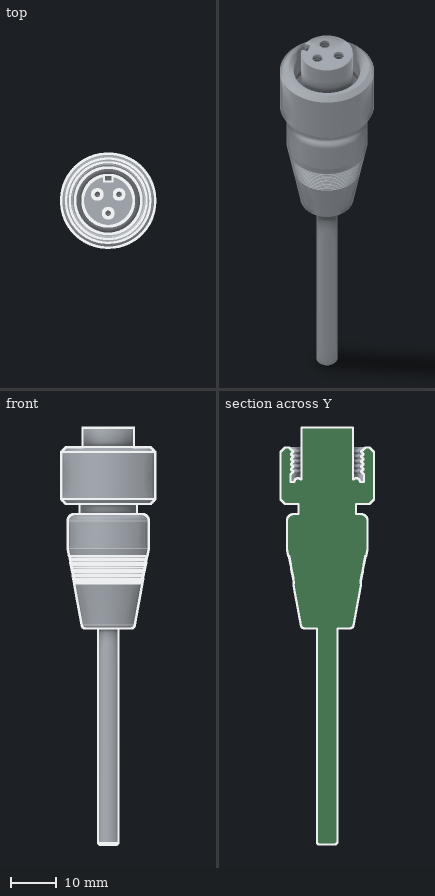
import cadquery as cq
import math


cable_radius = 2.3
cable_end_chamfer = 0.5

body_bottom = 47.3
body_top = 72.4
body_radius = 17.8 / 2
shoulder_radius = 1.55
taper_top = 64.85
taper_angle = math.radians(10.4)
tail_radius = 0.9

grip_top = 63.2
grip_count = 12
grip_pitch = 0.5
grip_radius = 0.25

neck_radius = 6.3
nut_bottom = 74.5
nut_top = 87.05
nut_radius = 10.3
nut_chamfer = 1.1
nut_floor = 79.5

mouth_radius = 8.4
thread_major_radius = 7.95
thread_minor_radius = 7.3
thread_pitch = 1.1
thread_turns = 5

seal_radius = 6.4
seal_section_radius = 0.8

core_radius = 5.7
core_top = 91.3
core_chamfer = 0.14
socket_circle_radius = 2.7
socket_mouth_radius = 2.3 / 2
socket_mouth_depth = 1.2
socket_radius = 0.87
socket_depth = 3.2
socket_angles = (30, 150, 270)
key_width = 1.9
key_floor_radius = 4.2


def cylinder(radius, bottom, top):
    return cq.Workplane("XY").workplane(offset=bottom).circle(radius).extrude(top - bottom)


def spin(half_profile):
    return half_profile.revolve(360, (0, 0, 0), (0, 1, 0))


def ring(radius, section_radius, height):
    return cq.Workplane(cq.Solid.makeTorus(radius, section_radius, cq.Vector(0, 0, height)))


def taper_radius(height):
    return body_radius - (taper_top - height) * math.tan(taper_angle)


def make_cable():
    cable = cylinder(cable_radius, 0, body_bottom)
    return cable.faces("<Z").chamfer(cable_end_chamfer)


def make_body():
    profile = (
        cq.Workplane("XZ")
        .moveTo(0, body_bottom)
        .lineTo(taper_radius(body_bottom), body_bottom)
        .lineTo(body_radius, taper_top)
        .lineTo(body_radius, body_top)
        .lineTo(0, body_top)
        .close()
    )
    body = spin(profile)
    body = body.faces(">Z").edges().fillet(shoulder_radius)
    return body.faces("<Z").edges().fillet(tail_radius)


def cut_grip(body):
    for index in range(grip_count):
        height = grip_top - (index + 0.5) * grip_pitch
        body = body.cut(ring(taper_radius(height), grip_radius, height))
    return body


def make_nut():
    nut = cylinder(nut_radius, nut_bottom, nut_top)
    return nut.faces("<Z or >Z").chamfer(nut_chamfer)


def make_nut_bore():
    thread_top = nut_top - (mouth_radius - thread_major_radius)
    outline = (
        cq.Workplane("XZ")
        .moveTo(0, nut_top)
        .lineTo(mouth_radius, nut_top)
        .lineTo(thread_major_radius, thread_top)
    )
    for turn in range(thread_turns):
        root = thread_top - turn * thread_pitch
        outline = outline.lineTo(thread_minor_radius, root - thread_pitch / 2)
        outline = outline.lineTo(thread_major_radius, root - thread_pitch)
    outline = outline.lineTo(thread_major_radius, nut_floor).lineTo(0, nut_floor).close()
    return spin(outline)


def make_socket():
    wall_bottom = socket_radius - socket_depth
    profile = (
        cq.Workplane("XZ")
        .lineTo(socket_mouth_radius, 0)
        .lineTo(socket_mouth_radius, -socket_mouth_depth)
        .lineTo(socket_radius, -socket_mouth_depth)
        .lineTo(socket_radius, wall_bottom)
        .radiusArc((0, -socket_depth), socket_radius)
        .close()
    )
    return spin(profile)


def make_core():
    core = cylinder(core_radius, nut_floor, core_top)
    core = core.faces(">Z").chamfer(core_chamfer)
    key_depth = core_radius - key_floor_radius
    key = (
        cq.Workplane("XY")
        .workplane(offset=nut_floor + seal_section_radius)
        .center(0, key_floor_radius + key_depth / 2)
        .rect(key_width, key_depth)
        .extrude(core_top - nut_floor)
    )
    core = core.cut(key)
    for angle in socket_angles:
        x = socket_circle_radius * math.cos(math.radians(angle))
        y = socket_circle_radius * math.sin(math.radians(angle))
        core = core.cut(make_socket().translate((x, y, core_top)))
    return core


neck = cylinder(neck_radius, body_top, nut_bottom)
seal = ring(seal_radius, seal_section_radius, nut_floor)
coupling = make_nut().cut(make_nut_bore()).union(seal).union(make_core())
result = make_cable().union(cut_grip(make_body())).union(neck).union(coupling)